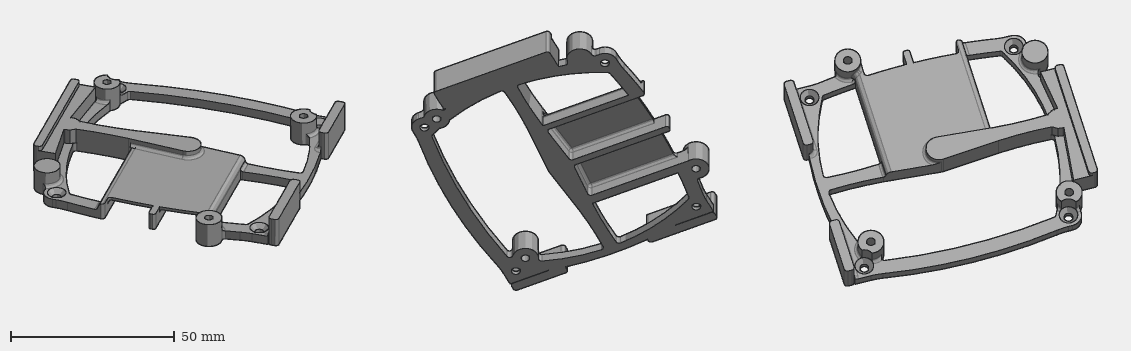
import cadquery as cq
import math

FRAME_TOP = 3.0
PLATE_TOP = 5.5
PLATE_THICKNESS = 1.0
BOSS_TOP = 8.0
RAIL_TOP = 9.6
BLEND = 1.0
TOLERANCE = 0.01
REACH = 1.0

HOLE_X = 32.5
HOLE_Y = 30.6
CORNER_RADIUS = 3.8
CORNER_X = 36.5
CORNER_Y = 34.5
OUTER_PEAK_X = 38.8
OUTER_PEAK_Y = 37.0
OUTER_SIDE_ARC_END_Y = 22.0
OUTER_END_ARC_END_X = 29.5
OUTER_EASE_RADIUS = 24.0
OPENING_HALF_X = 36.0
OPENING_HALF_Y = 32.3
OPENING_SIDE_RADIUS = 64.0
OPENING_END_RADIUS = 186.0

SCREW_HOLE_D = 2.7
SCREW_HEAD_D = 5.7
COUNTERSINK_ANGLE = 90.0

BOSS_RADIUS = 4.0
BOSS_HOLE_D = 2.6
FLUSH_BOSS = (-34.1, 25.7, True)
RAIL_BOSS = (29.0, 25.7, True)
PLATE_BOSS = (18.45, -37.21, True)
REST_BOSS = (-37.5, -24.45, False)
BLENDED_BOSSES = [RAIL_BOSS, PLATE_BOSS, REST_BOSS]
BOSSES = [FLUSH_BOSS, *BLENDED_BOSSES]

HUB_RADIUS = 4.0
TAPER_END_X = 18.3
TAPER_END_HALF_WIDTH = 2.42
WAIST_X = 27.7
WAIST_HALF_WIDTH = 2.05
BAR_END_X = 37.0
BAR_END_HALF_WIDTH = 2.35
BAR_FLARE_X = -38.4
BAR_FLARE_HALF_WIDTH = 3.5
BAR_FLARE_KNEE_X = -36.9
BAR_FLARE_KNEE_HALF_WIDTH = 3.3
BAR_FLARE_START_X = -35.0

PLATE_HALF_X = 17.6
PLATE_EDGE_RADIUS = 1.7
NOTCH_LEFT_X = -15.5
NOTCH_RIGHT_X = 14.5
RIB_HALF_WIDTH = 1.1
RIB_END_RADIUS = 0.8

BLOCK_LEFT_X = -44.4
BLOCK_BACK_Y = 22.0
BLOCK_FRONT_Y = -17.2
LIP_WIDTH = 2.8
BLOCK_EDGE_MIDDLE_X = -38.75
BLOCK_EDGE_END_X = -36.6
RAIL_RIGHT_X = 39.75
RAIL_WIDTH = 3.15
RAIL_FOOT_RADIUS = 1.25
BACK_RAIL_Y = (16.2, CORNER_Y)
FRONT_RAIL_Y = (-CORNER_Y, -11.3)


def box(x0, x1, y0, y1, z0, z1):
    """Axis-aligned box between the given limits."""
    return cq.Workplane("XY").box(x1 - x0, y1 - y0, z1 - z0, centered=False).translate((x0, y0, z0))


def cylinder(x, y, radius, z0, z1):
    """Upright cylinder."""
    return cq.Workplane("XY", origin=(x, y, z0)).circle(radius).extrude(z1 - z0)


def around(x, y, reach_x=REACH, reach_y=REACH):
    """Selector for whatever is centred close to (x, y), at any height of the part."""
    low = (x - reach_x, y - reach_y, -REACH)
    high = (x + reach_x, y + reach_y, RAIL_TOP + REACH)
    return cq.selectors.BoxSelector(low, high)


def frame_outline(z0, z1):
    """Solid outer shape of the ring, with rounded left corners."""
    ax, ay = OUTER_END_ARC_END_X, OUTER_SIDE_ARC_END_Y
    outline = (
        cq.Workplane("XY", origin=(0, 0, z0))
        .moveTo(-ax, CORNER_Y)
        .threePointArc((0, OUTER_PEAK_Y), (ax, CORNER_Y))
        .lineTo(CORNER_X, CORNER_Y)
        .lineTo(CORNER_X, ay)
        .threePointArc((OUTER_PEAK_X, 0), (CORNER_X, -ay))
        .lineTo(CORNER_X, -CORNER_Y)
        .lineTo(ax, -CORNER_Y)
        .threePointArc((0, -OUTER_PEAK_Y), (-ax, -CORNER_Y))
        .lineTo(-CORNER_X, -CORNER_Y)
        .lineTo(-CORNER_X, -ay)
        .threePointArc((-OUTER_PEAK_X, 0), (-CORNER_X, ay))
        .lineTo(-CORNER_X, CORNER_Y)
        .close()
        .extrude(z1 - z0)
    )
    for y in (-CORNER_Y, CORNER_Y):
        for x in (-ax, ax):
            outline = outline.edges(around(x, y)).edges("|Z").fillet(OUTER_EASE_RADIUS)
        outline = outline.edges(around(-CORNER_X, y)).edges("|Z").fillet(CORNER_RADIUS)
    return outline


def opening(z0, z1):
    """Four-arc inner shape of the ring, with rounded corners."""
    side_x = OPENING_SIDE_RADIUS - OPENING_HALF_X
    end_y = OPENING_END_RADIUS - OPENING_HALF_Y
    shape = cylinder(side_x, 0, OPENING_SIDE_RADIUS, z0, z1)
    shape = shape.intersect(cylinder(-side_x, 0, OPENING_SIDE_RADIUS, z0, z1))
    shape = shape.intersect(cylinder(0, end_y, OPENING_END_RADIUS, z0, z1))
    shape = shape.intersect(cylinder(0, -end_y, OPENING_END_RADIUS, z0, z1))
    return shape.edges("|Z").fillet(BLEND)


def hub_tangent():
    """Point where the right back taper of the bar leaves the hub circle."""
    distance = math.hypot(TAPER_END_X, TAPER_END_HALF_WIDTH)
    direction = math.atan2(TAPER_END_HALF_WIDTH, TAPER_END_X) + math.acos(HUB_RADIUS / distance)
    return HUB_RADIUS * math.cos(direction), HUB_RADIUS * math.sin(direction)


def cross_bar(z0, z1):
    """Bar across the ring, widening towards the hub at its middle."""
    tx, ty = hub_tangent()
    return (
        cq.Workplane("XY", origin=(0, 0, z0))
        .moveTo(-tx, ty)
        .threePointArc((0, HUB_RADIUS), (tx, ty))
        .lineTo(TAPER_END_X, TAPER_END_HALF_WIDTH)
        .threePointArc((WAIST_X, WAIST_HALF_WIDTH), (BAR_END_X, BAR_END_HALF_WIDTH))
        .lineTo(BAR_END_X, -BAR_END_HALF_WIDTH)
        .threePointArc((WAIST_X, -WAIST_HALF_WIDTH), (TAPER_END_X, -TAPER_END_HALF_WIDTH))
        .lineTo(tx, -ty)
        .threePointArc((0, -HUB_RADIUS), (-tx, -ty))
        .lineTo(-TAPER_END_X, -TAPER_END_HALF_WIDTH)
        .threePointArc((-WAIST_X, -WAIST_HALF_WIDTH), (-BAR_END_X, -BAR_END_HALF_WIDTH))
        .lineTo(-BAR_END_X, BAR_END_HALF_WIDTH)
        .threePointArc((-WAIST_X, WAIST_HALF_WIDTH), (-TAPER_END_X, TAPER_END_HALF_WIDTH))
        .close()
        .extrude(z1 - z0)
    )


def round_skirt(x, y, radius, z, blend):
    """Concave fillet ring standing on height z around an upright cylinder."""
    mid = blend * (1 - math.sqrt(0.5))
    return (
        cq.Workplane("XZ")
        .moveTo(0, z)
        .lineTo(radius + blend, z)
        .threePointArc((radius + mid, z + mid), (radius, z + blend))
        .lineTo(0, z + blend)
        .close()
        .revolve(360, (0, 0), (0, 1))
        .translate((x, y, 0))
    )


def straight_skirt(start, end, z, blend):
    """Concave fillet strip standing on height z, on the left of the line from start to end."""
    dx, dy = end[0] - start[0], end[1] - start[1]
    mid = blend * (1 - math.sqrt(0.5))
    plane = cq.Plane(origin=(start[0], start[1], z), xDir=(-dy, dx, 0), normal=(dx, dy, 0))
    return (
        cq.Workplane(plane)
        .moveTo(-mid, 0)
        .lineTo(blend, 0)
        .threePointArc((mid, mid), (0, blend))
        .lineTo(-mid, blend)
        .close()
        .extrude(math.hypot(dx, dy))
    )


def on_boss_side(point, boss):
    """True for a point on the upright side of the boss."""
    return abs(math.hypot(point.x - boss[0], point.y - boss[1]) - BOSS_RADIUS) < TOLERANCE


def is_boss_joint(edge):
    """True for an upright edge where the side of a blended boss meets the ring."""
    start, end = edge.startPoint(), edge.endPoint()
    upright = math.hypot(end.x - start.x, end.y - start.y) < TOLERANCE
    return upright and any(on_boss_side(edge.Center(), boss) for boss in BLENDED_BOSSES)


def is_plate_boss_foot(edge):
    """True for the curved edge where the plate boss rises from the plate top and its rounded side."""
    points = [edge.positionAt(fraction) for fraction in (0, 0.5, 1)]
    curved = edge.geomType() != "LINE"
    return curved and 0 < points[1].z < BOSS_TOP and all(on_boss_side(point, PLATE_BOSS) for point in points)


def base_slab():
    """Everything at frame height: ring, bar and boss feet, blended in plan."""
    slab = frame_outline(0, FRAME_TOP).cut(opening(0, FRAME_TOP))
    slab = slab.union(cross_bar(0, FRAME_TOP))
    for x, y, _ in BOSSES:
        slab = slab.union(cylinder(x, y, BOSS_RADIUS, 0, FRAME_TOP))
    for side in (-1, 1):
        bar_end = around(side * OPENING_HALF_X, 0, reach_y=HUB_RADIUS)
        slab = slab.edges(bar_end).edges("|Z").fillet(BLEND)
    return slab.edges().filter(is_boss_joint).fillet(BLEND)


def plate_outline(z0, z1):
    """Plan of the plate with its side walls, from the back of the bar to the front of the ring."""
    shape = box(-PLATE_HALF_X, PLATE_HALF_X, -OUTER_PEAK_Y - REACH, 0, z0, z1)
    bar = box(-PLATE_HALF_X, PLATE_HALF_X, 0, HUB_RADIUS, z0, z1).intersect(cross_bar(z0, z1))
    return shape.union(bar).intersect(frame_outline(z0, z1))


def plate_block():
    """Plate as a full-height block with rounded long edges."""
    rounded = box(-PLATE_HALF_X, PLATE_HALF_X, -OUTER_PEAK_Y - REACH, HUB_RADIUS + REACH, 0, PLATE_TOP)
    rounded = rounded.edges("|Y and >Z").fillet(PLATE_EDGE_RADIUS)
    return plate_outline(0, PLATE_TOP).intersect(rounded)


def plate_boss_foot():
    """Plate boss with its foot blended into the plate top, on the right of the notch."""
    x, y, _ = PLATE_BOSS
    joined = plate_block().union(cylinder(x, y, BOSS_RADIUS, 0, BOSS_TOP))
    joined = joined.edges().filter(is_plate_boss_foot).fillet(BLEND)
    reach = BOSS_RADIUS + BLEND
    return joined.intersect(box(NOTCH_RIGHT_X, x + reach, y - reach, y + reach, FRAME_TOP, BOSS_TOP))


def plate_pocket(x0, x1):
    """Hollow under one half of the plate, open at the front, with a rounded ceiling."""
    ceiling = PLATE_TOP - PLATE_THICKNESS
    hollow = box(x0, x1, -OUTER_PEAK_Y - HUB_RADIUS, 0, 0, ceiling).cut(cross_bar(0, ceiling))
    back = around((x0 + x1) / 2, 0, reach_x=x1 - x0, reach_y=HUB_RADIUS + REACH)
    hollow = hollow.edges(back).edges("|Z").edges("<X or >X").fillet(BLEND)
    return hollow.faces(">Z").edges().fillet(BLEND)


def front_notch(x0, x1):
    """Gap in the ring in front of the plate, beside the rib."""
    gap = box(x0, x1, -OUTER_PEAK_Y - HUB_RADIUS, -HOLE_Y, 0, PLATE_TOP).cut(opening(0, PLATE_TOP))
    return gap.edges("|Z and >Y").fillet(BLEND)


def round_front_ends(body):
    """Round the front corners of the rib and of the left side wall."""
    rib_corners = [(-RIB_HALF_WIDTH, RIB_END_RADIUS), (RIB_HALF_WIDTH, RIB_END_RADIUS)]
    for x, radius in [*rib_corners, (NOTCH_LEFT_X, BLEND)]:
        corner = around(x, -OUTER_PEAK_Y, reach_x=RIB_HALF_WIDTH / 2, reach_y=OUTER_PEAK_Y - CORNER_Y)
        body = body.edges(corner).edges("|Z").fillet(radius)
    return body


def left_block():
    """Block outside the ring with a raised outer lip."""
    length = (BLOCK_FRONT_Y, BLOCK_BACK_Y)
    block = box(BLOCK_LEFT_X, BLOCK_EDGE_END_X, *length, 0, BOSS_TOP).edges("|Z and <X").fillet(BLEND)
    channel = (
        cq.Workplane("XY", origin=(0, 0, FRAME_TOP))
        .moveTo(BLOCK_EDGE_MIDDLE_X, BAR_FLARE_HALF_WIDTH)
        .lineTo(BLOCK_EDGE_END_X, BLOCK_BACK_Y)
        .lineTo(0, BLOCK_BACK_Y)
        .lineTo(0, -BLOCK_BACK_Y)
        .lineTo(BLOCK_EDGE_END_X, -BLOCK_BACK_Y)
        .lineTo(BLOCK_EDGE_MIDDLE_X, -BAR_FLARE_HALF_WIDTH)
        .close()
        .extrude(BOSS_TOP - FRAME_TOP)
    )
    block = block.cut(channel)
    lip = box(BLOCK_LEFT_X, BLOCK_LEFT_X + LIP_WIDTH, *length, BOSS_TOP, RAIL_TOP)
    flare = (
        cq.Workplane("XY")
        .moveTo(BLOCK_EDGE_MIDDLE_X - REACH, BAR_FLARE_HALF_WIDTH)
        .lineTo(BAR_FLARE_X, BAR_FLARE_HALF_WIDTH)
        .lineTo(BAR_FLARE_KNEE_X, BAR_FLARE_KNEE_HALF_WIDTH)
        .lineTo(BAR_FLARE_START_X, WAIST_HALF_WIDTH)
        .lineTo(BAR_FLARE_START_X, 0)
        .lineTo(BLOCK_EDGE_MIDDLE_X - REACH, 0)
        .close()
        .extrude(BOSS_TOP)
    )
    return block.union(lip.edges("|Z").fillet(BLEND)).union(flare).union(flare.mirror("XZ"))


def right_rail(limits):
    """Upright rail with rounded corners, standing outside the ring."""
    left = RAIL_RIGHT_X - RAIL_WIDTH
    return box(left, RAIL_RIGHT_X, *limits, 0, RAIL_TOP).edges("|Z").fillet(BLEND)


def foot_fillets():
    """Fillets where bosses, rails and plate walls rise from the frame."""
    left = RAIL_RIGHT_X - RAIL_WIDTH
    fillets = cq.Workplane("XY")
    for front, back in (BACK_RAIL_Y, FRONT_RAIL_Y):
        start, end = (left, front + BLEND), (left, back - BLEND)
        fillets = fillets.union(straight_skirt(start, end, FRAME_TOP, RAIL_FOOT_RADIUS))
        for y in (front + BLEND, back - BLEND):
            fillets = fillets.union(round_skirt(left + BLEND, y, BLEND, FRAME_TOP, RAIL_FOOT_RADIUS))
    for side in (-1, 1):
        front_end = (side * PLATE_HALF_X, -OUTER_PEAK_Y)
        back_end = (side * PLATE_HALF_X, HUB_RADIUS)
        start, end = (back_end, front_end) if side > 0 else (front_end, back_end)
        fillets = fillets.union(straight_skirt(start, end, FRAME_TOP, BLEND))
    for x, y, _ in BOSSES:
        fillets = fillets.union(round_skirt(x, y, BOSS_RADIUS, FRAME_TOP, BLEND))
    return fillets.intersect(base_slab().translate((0, 0, FRAME_TOP)))


def raised_arm():
    """Left half of the bar and its hub, raised above the plate, with a fillet around its foot."""
    tx, ty = hub_tangent()
    arm = cross_bar(0, BOSS_TOP).intersect(box(-BAR_END_X - REACH, 0, -HUB_RADIUS, HUB_RADIUS, 0, BOSS_TOP))
    arm = arm.union(cylinder(0, 0, HUB_RADIUS, 0, BOSS_TOP))
    skirt = round_skirt(0, 0, HUB_RADIUS, PLATE_TOP, BLEND)
    strip = straight_skirt((-tx, -ty), (-TAPER_END_X, -TAPER_END_HALF_WIDTH), PLATE_TOP, BLEND)
    skirt = skirt.union(strip).intersect(plate_outline(PLATE_TOP, BOSS_TOP))
    return arm.union(skirt)


def screw_cutter(x, y):
    """Countersunk screw hole with clearance for the head above the frame."""
    depth = (SCREW_HEAD_D - SCREW_HOLE_D) / 2 / math.tan(math.radians(COUNTERSINK_ANGLE / 2))
    return (
        cq.Workplane("XZ")
        .moveTo(0, 0)
        .lineTo(SCREW_HOLE_D / 2, 0)
        .lineTo(SCREW_HOLE_D / 2, FRAME_TOP - depth)
        .lineTo(SCREW_HEAD_D / 2, FRAME_TOP)
        .lineTo(SCREW_HEAD_D / 2, BOSS_TOP)
        .lineTo(0, BOSS_TOP)
        .close()
        .revolve(360, (0, 0), (0, 1))
        .translate((x, y, 0))
    )


def build():
    """Whole part: plate and ring first, then everything standing on them, then the holes."""
    body = base_slab().union(plate_block()).union(foot_fillets())
    for x0, x1 in ((NOTCH_LEFT_X, -RIB_HALF_WIDTH), (RIB_HALF_WIDTH, NOTCH_RIGHT_X)):
        body = body.cut(plate_pocket(x0, x1)).cut(front_notch(x0, x1))
    body = round_front_ends(body)
    body = body.union(raised_arm()).union(left_block())
    for limits in (BACK_RAIL_Y, FRONT_RAIL_Y):
        body = body.union(right_rail(limits))
    for x, y, _ in BOSSES:
        body = body.union(cylinder(x, y, BOSS_RADIUS, 0, BOSS_TOP))
    body = body.union(plate_boss_foot())
    for x, y, drilled in BOSSES:
        if drilled:
            body = body.cut(cylinder(x, y, BOSS_HOLE_D / 2, 0, BOSS_TOP))
    for x in (-HOLE_X, HOLE_X):
        for y in (-HOLE_Y, HOLE_Y):
            body = body.cut(screw_cutter(x, y))
    return body


result = build()